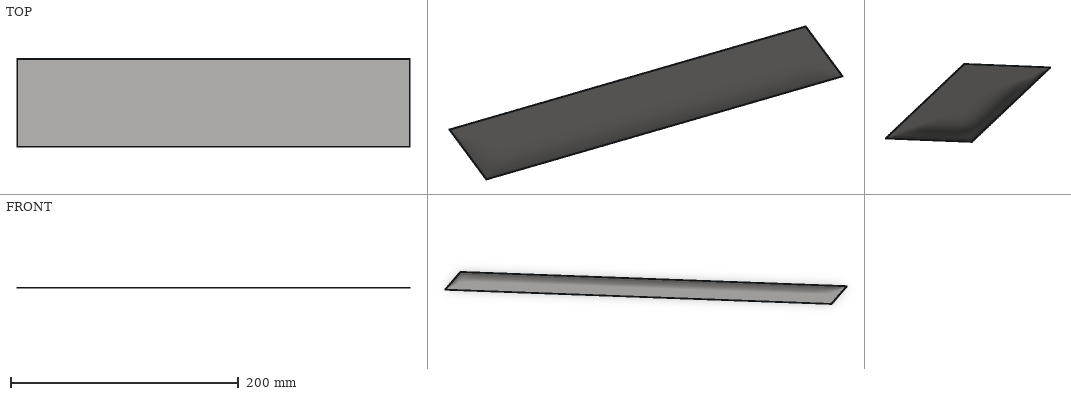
import cadquery as cq

plate_length = 345.0
plate_width = 77.3
plate_thickness = 0.1

result = cq.Workplane("XY").box(
    plate_length, plate_width, plate_thickness, centered=(True, True, False)
)